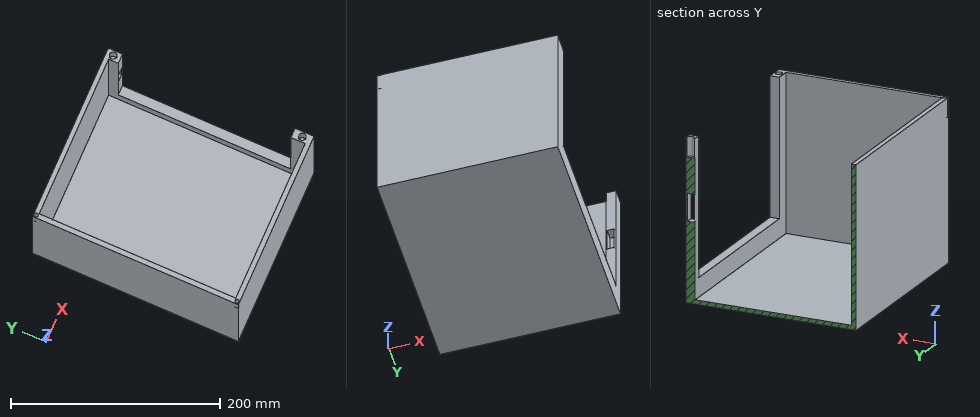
import cadquery as cq

length_x = 180.0
width_y = 215.0
height_z = 169.0

wall = 5.0
frame_depth = 10.0
near_post_width = 20.0
far_post_width = 15.0
sill_height = 25.0

hole_depth = 20.0
corner_hole_diameter = 4.0
corner_hole_inset = 2.5
post_hole_diameter = 7.0
post_hole_inset_x = frame_depth / 2

pocket_top_drop = 57.5
pocket_height = 28.0
pocket_lip = 1.0
pocket_length = 7.0
pocket_depth = 10.0


def box_between(low, high):
    """Axis-aligned box from its lowest corner to its highest corner."""
    size = [b - a for a, b in zip(low, high)]
    return cq.Workplane("XY").box(*size, centered=False).translate(low)


def blind_holes(x, near_inset, far_inset, diameter):
    """Pair of holes drilled down from the rim, one near each Y side."""
    return (
        cq.Workplane("XY", origin=(0, 0, height_z))
        .pushPoints([(x, near_inset), (x, width_y - far_inset)])
        .circle(diameter / 2)
        .extrude(-hole_depth)
    )


frame_x = length_x - frame_depth

body = box_between((0, 0, 0), (length_x, width_y, height_z))
cavity = box_between((wall, wall, wall), (frame_x, width_y - wall, height_z))
body = body.cut(cavity)

opening = box_between(
    (frame_x, near_post_width, sill_height),
    (length_x, width_y - far_post_width, height_z),
)
body = body.cut(opening)

body = body.cut(blind_holes(corner_hole_inset, corner_hole_inset, corner_hole_inset, corner_hole_diameter))
post_holes = blind_holes(
    length_x - post_hole_inset_x,
    near_post_width / 2,
    far_post_width / 2,
    post_hole_diameter,
)
body = body.cut(post_holes)

pocket_x = frame_x + pocket_lip
pocket_top = height_z - pocket_top_drop
pocket_face_y = width_y - far_post_width
pocket = box_between(
    (pocket_x, pocket_face_y, pocket_top - pocket_height),
    (pocket_x + pocket_length, pocket_face_y + pocket_depth, pocket_top),
)
body = body.cut(pocket)

result = body